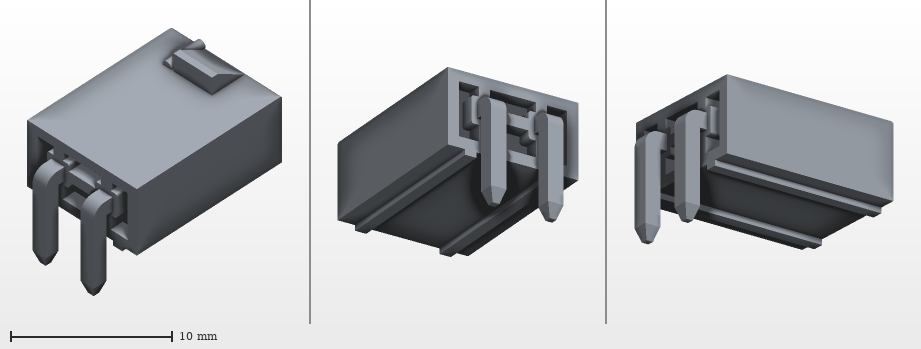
import cadquery as cq
import math


body_width = 9.6
body_length = 12.8
body_height = 5.35

side_wall = 0.82
cap_wall = 0.78
recess_depth = 1.07

pitch = 4.2
pin_xs = (-pitch / 2, pitch / 2)
pin_axis_z = 2.91
pin_size = 1.15
pin_reach = 1.66
pin_bend_radius = 1.0
pin_tip_z = -3.9
pin_tip_length = 0.97
pin_tip_size = 0.49
rib_thickness = 0.82
collar_width = 1.9
collar_height = 1.95
collar_corner_radius = 0.17

foot_width = 0.82
foot_height = 0.39
foot_spacing = 6.22

latch_width = 3.35
latch_length = 3.02
latch_height = 1.43
latch_flat = 0.52
lead_in_length = 0.15
key_radius = 0.39
key_lift = 0.05
key_x = -2.26

latch_front_y = body_length - latch_length
ramp_top_y = latch_front_y + latch_flat
ramp_foot_y = body_length - lead_in_length
ramp_slope = latch_height / (ramp_foot_y - ramp_top_y)


def block(width, length, height, x, y, z):
    """Box centred on x, running back from y and up from z."""
    return cq.Workplane("XY").box(width, length, height, centered=(True, False, False)).translate((x, y, z))


def make_housing():
    """Block whose top rear edge is bevelled in line with the latch ramp."""
    lead_in_drop = lead_in_length * ramp_slope
    return (
        cq.Workplane("YZ")
        .moveTo(0, 0)
        .lineTo(body_length, 0)
        .lineTo(body_length, body_height - lead_in_drop)
        .lineTo(ramp_foot_y, body_height)
        .lineTo(0, body_height)
        .close()
        .extrude(body_width / 2, both=True)
    )


def make_recess():
    """Recess volume, leaving a collar and rib for each pin and a web between them."""
    recess_width = body_width - 2 * side_wall
    recess_height = body_height - 2 * cap_wall
    recess = block(recess_width, recess_depth, recess_height, 0, 0, cap_wall)
    web = block(pitch, recess_depth, rib_thickness, 0, 0, pin_axis_z - rib_thickness / 2)
    recess = recess.cut(web)
    for x in pin_xs:
        rib = block(rib_thickness, recess_depth, recess_height, x, 0, cap_wall)
        collar = block(collar_width, recess_depth, collar_height, x, 0, pin_axis_z - collar_height / 2)
        recess = recess.cut(rib).cut(collar.edges("|Y").fillet(collar_corner_radius))
    return recess


def make_latch():
    """Wedge that ramps up from the mating end to a short flat top."""
    return (
        cq.Workplane("YZ")
        .moveTo(latch_front_y, body_height)
        .lineTo(ramp_foot_y, body_height)
        .lineTo(ramp_top_y, body_height + latch_height)
        .lineTo(latch_front_y, body_height + latch_height)
        .close()
        .extrude(latch_width / 2, both=True)
    )


def make_key():
    """Bar beside the latch, slightly more than half round, standing flat on the top face."""
    half_base = math.sqrt(key_radius**2 - key_lift**2)
    return (
        cq.Workplane("XZ", origin=(key_x, body_length, body_height))
        .moveTo(-half_base, 0)
        .threePointArc((0, key_lift + key_radius), (half_base, 0))
        .close()
        .extrude(latch_length)
    )


def make_pin(x):
    """Square pin leaving the housing, bent downwards and tapered at its tip."""
    pin_top_z = pin_axis_z + pin_size / 2
    taper_start_z = pin_tip_z + pin_tip_length
    leg_height = pin_top_z - taper_start_z
    arm = block(pin_size, pin_reach, pin_size, x, -pin_reach, pin_top_z - pin_size)
    leg = block(pin_size, pin_size, leg_height, x, -pin_reach, taper_start_z)
    bent = arm.union(leg).edges("|X and >Z and <Y").fillet(pin_bend_radius)
    tip = (
        cq.Workplane("XY", origin=(x, -pin_reach + pin_size / 2, pin_tip_z))
        .rect(pin_tip_size, pin_tip_size)
        .workplane(offset=pin_tip_length)
        .rect(pin_size, pin_size)
        .loft()
    )
    return bent.union(tip)


result = make_housing().cut(make_recess()).union(make_latch()).union(make_key())
for foot_x in (-foot_spacing / 2, foot_spacing / 2):
    result = result.union(block(foot_width, body_length, foot_height, foot_x, 0, -foot_height))
for pin_x in pin_xs:
    result = result.union(make_pin(pin_x))